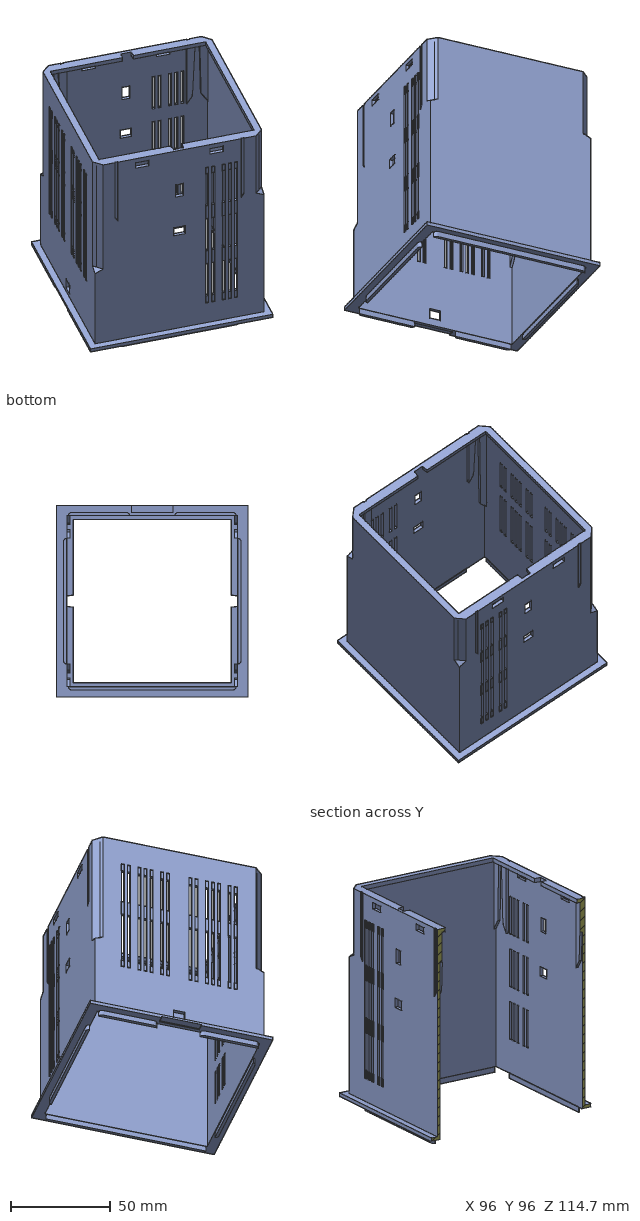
import cadquery as cq
import math

HEIGHT = 114.7
FLANGE_SIZE = 96.0
FLANGE_BOTTOM = 3.0
FLANGE_TOP = 4.9
BODY_SIZE = 89.0
SIDE_WALL = 1.8
FRONT_WALL = 1.7
BODY_HALF = BODY_SIZE / 2
INNER_HALF_X = BODY_HALF - SIDE_WALL
INNER_HALF_Y = BODY_HALF - FRONT_WALL

LIP_HEIGHT = 2.2
LIP_OPENING_X = 78.9
LIP_OPENING_Y = 81.7
LIP_NOTCH_INNER_WIDTH = 6.0
LIP_NOTCH_OUTER_WIDTH = 5.2
LIP_BOTTOM = HEIGHT - LIP_HEIGHT

CORNER_LEG = 4.2
CORNER_END_FRONT = 50.2
CORNER_END_BACK = 79.3
CORNER_END_DROP = 2.0

GROOVE_NEAR_Y = 32.5
GROOVE_WIDTH = 1.5
GROOVE_DEPTH = 0.5
GROOVE_TIP_Z = 78.3
TIP_SLOPE = 1.5
RIB_THICKNESS = 1.4
RIB_NEAR_Y = 31.5
RIB_FAR_Y_TOP = 35.9
RIB_FAR_Y_BOTTOM = 34.5
CORNER_RIB_Y_TOP = 38.4
CORNER_RIB_Y_BOTTOM = 39.1
CORNER_RIB_OVERLAP = 3.1

SLOT_WIDTH = 1.5
SLOT_CHANNEL_DEPTH = 0.5
SLOT_PITCH = 3.2
SLOT_GROUP_GAP = 5.5
SLOT_FIRST = 5.8
SLOT_END = 4.0
SLOT_BRIDGE = 8.0
SHORT_WINDOW = 19.8
LONG_WINDOW = 29.8
FRONT_SLOT_TOP = 99.8
SIDE_SLOT_TOP = 100.7

SIDE_OPENINGS = [
    (-19.6, 7.1, 108.9, 112.2),
    (19.6, 7.1, 108.9, 112.2),
    (0, 4.1, 86.3, 93.7),
    (0, 6.0, 62.5, 67.5),
]
FRONT_OPENING = (0, 6.0, 7.0, 12.4)

STRIP_THICKNESS = 1.5
STRIP_END_RADIUS = 2.0
SIDE_STRIP_HALF = 31.5
STRIP_REACH_X = 42.1
STRIP_GAP_HALF = 11.2
PRY_NOTCH_WIDTH = 20.9
PRY_NOTCH_HEIGHT = 0.7


def block(x_range, y_range, z_range):
    """Axis-aligned box between the given limits."""
    size = [high - low for low, high in (x_range, y_range, z_range)]
    corner = (x_range[0], y_range[0], z_range[0])
    return cq.Workplane("XY").box(*size, centered=False).translate(corner)


def square_prism(size, bottom, top):
    return cq.Workplane("XY").workplane(offset=bottom).rect(size, size).extrude(top - bottom)


def side_plate(outline, x_start, x_end):
    """Plate with an outline in (y, z), reaching from x_start to x_end."""
    return cq.Workplane("YZ").workplane(offset=x_start).polyline(outline).close().extrude(x_end - x_start)


def on_both_sides(shape):
    """The shape together with its mirror image at -X."""
    return shape.union(shape.mirror("YZ"))


def make_shell():
    """Square tube with a flange at the foot and an inward lip at the top."""
    shell = square_prism(BODY_SIZE, FLANGE_BOTTOM, HEIGHT)
    shell = shell.union(square_prism(FLANGE_SIZE, FLANGE_BOTTOM, FLANGE_TOP))
    inside_x = (-INNER_HALF_X, INNER_HALF_X)
    inside_y = (-INNER_HALF_Y, INNER_HALF_Y)
    shell = shell.cut(block(inside_x, inside_y, (0, LIP_BOTTOM)))
    mouth = cq.Workplane("XY").workplane(offset=LIP_BOTTOM).rect(LIP_OPENING_X, LIP_OPENING_Y)
    return shell.cut(mouth.extrude(LIP_HEIGHT))


def make_lip_notches():
    """Tapered notch in the middle of the lip on both X sides."""
    inner_half = LIP_NOTCH_INNER_WIDTH / 2
    outer_half = LIP_NOTCH_OUTER_WIDTH / 2
    outline = [
        (LIP_OPENING_X / 2, -inner_half),
        (INNER_HALF_X, -outer_half),
        (INNER_HALF_X, outer_half),
        (LIP_OPENING_X / 2, inner_half),
    ]
    notch = cq.Workplane("XY").workplane(offset=LIP_BOTTOM).polyline(outline).close().extrude(LIP_HEIGHT)
    return on_both_sides(notch)


def make_corner_cut(x_sign, y_sign, end_z):
    """Corner material to remove above end_z, with a falling end face."""
    chamfer_depth = CORNER_LEG / math.sqrt(2)
    middle = BODY_HALF - CORNER_LEG / 2
    plane = cq.Plane(
        origin=(x_sign * middle, y_sign * middle, 0),
        xDir=(x_sign, y_sign, 0),
        normal=(y_sign, -x_sign, 0),
    )
    up = plane.yDir.z
    outline = [
        (0, up * end_z),
        (chamfer_depth, up * (end_z - CORNER_END_DROP)),
        (chamfer_depth, up * HEIGHT),
        (0, up * HEIGHT),
    ]
    return cq.Workplane(plane).polyline(outline).close().extrude(CORNER_LEG, both=True)


def tip_height(y):
    """Height of the slanted lower end of a groove or rib at distance y."""
    return GROOVE_TIP_Z + TIP_SLOPE * (y - GROOVE_NEAR_Y)


def make_groove(y_sign):
    """Outer guide groove, open at the top and slanted at its lower end."""
    far_y = GROOVE_NEAR_Y + GROOVE_WIDTH
    outline = [
        (y_sign * GROOVE_NEAR_Y, HEIGHT),
        (y_sign * GROOVE_NEAR_Y, tip_height(GROOVE_NEAR_Y)),
        (y_sign * far_y, tip_height(far_y)),
        (y_sign * far_y, HEIGHT),
    ]
    return on_both_sides(side_plate(outline, BODY_HALF - GROOVE_DEPTH, BODY_HALF))


def make_inner_ribs(y_sign, chamfer_end):
    """Rib behind the groove and rib behind the chamfered corner."""
    groove_rib = [
        (y_sign * RIB_NEAR_Y, LIP_BOTTOM),
        (y_sign * RIB_NEAR_Y, tip_height(RIB_NEAR_Y)),
        (y_sign * RIB_FAR_Y_BOTTOM, tip_height(RIB_FAR_Y_BOTTOM)),
        (y_sign * RIB_FAR_Y_TOP, LIP_BOTTOM),
    ]
    corner_tip = chamfer_end - CORNER_RIB_OVERLAP
    corner_shoulder = corner_tip + TIP_SLOPE * (INNER_HALF_Y - CORNER_RIB_Y_BOTTOM)
    corner_rib = [
        (y_sign * CORNER_RIB_Y_TOP, LIP_BOTTOM),
        (y_sign * CORNER_RIB_Y_BOTTOM, corner_shoulder),
        (y_sign * INNER_HALF_Y, corner_tip),
        (y_sign * INNER_HALF_Y, LIP_BOTTOM),
    ]
    face_x = INNER_HALF_X - RIB_THICKNESS
    ribs = side_plate(groove_rib, face_x, INNER_HALF_X)
    return on_both_sides(ribs.union(side_plate(corner_rib, face_x, INNER_HALF_X)))


def slot_positions(group_sizes, first):
    """Slot centres for consecutive groups, starting at the first centre."""
    positions = []
    centre = first
    for count in group_sizes:
        positions += [centre + i * SLOT_PITCH for i in range(count)]
        centre = positions[-1] + SLOT_GROUP_GAP
    return positions


def make_slot(x_centre, top, wall, windows):
    """Slot in a wall at -Y: an outer channel with windows through the wall."""
    x_range = (x_centre - SLOT_WIDTH / 2, x_centre + SLOT_WIDTH / 2)
    length = 2 * SLOT_END + sum(windows) + SLOT_BRIDGE * (len(windows) - 1)
    slot = block(x_range, (-BODY_HALF, -BODY_HALF + SLOT_CHANNEL_DEPTH), (top - length, top))
    window_top = top - SLOT_END
    for window in windows:
        z_range = (window_top - window, window_top)
        slot = slot.union(block(x_range, (-BODY_HALF, -BODY_HALF + wall), z_range))
        window_top -= window + SLOT_BRIDGE
    return slot


def make_strip(start, end):
    """Strip along the -Y edge of the body from x = start to x = end, with rounded outer ends."""
    outer_y = -BODY_HALF
    inner_y = outer_y + STRIP_THICKNESS
    blank = block((start, end), (outer_y, outer_y + 2 * STRIP_END_RADIUS), (0, FLANGE_BOTTOM))
    blank = blank.edges("|Z and <Y").fillet(STRIP_END_RADIUS)
    return blank.intersect(block((start, end), (outer_y, inner_y), (0, FLANGE_BOTTOM)))


def turned(shape, angle):
    """The shape turned about the vertical centre line."""
    return shape.rotate((0, 0, 0), (0, 0, 1), angle)


result = make_shell().cut(make_lip_notches())
for y_sign, chamfer_end in ((-1, CORNER_END_FRONT), (1, CORNER_END_BACK)):
    result = result.union(make_inner_ribs(y_sign, chamfer_end))
    result = result.cut(make_groove(y_sign))
    for x_sign in (-1, 1):
        result = result.cut(make_corner_cut(x_sign, y_sign, chamfer_end))

front_slots = slot_positions((2, 3, 2), SLOT_FIRST)
for x in front_slots:
    for sign in (-1, 1):
        result = result.cut(make_slot(sign * x, FRONT_SLOT_TOP, FRONT_WALL, (SHORT_WINDOW, LONG_WINDOW)))

side_slot_first = front_slots[2]
for y in slot_positions((2, 3), side_slot_first):
    slot = turned(make_slot(y, SIDE_SLOT_TOP, SIDE_WALL, (SHORT_WINDOW,) * 3), 90)
    result = result.cut(on_both_sides(slot))

for centre, width, bottom, top in SIDE_OPENINGS:
    y_range = (centre - width / 2, centre + width / 2)
    opening = block((INNER_HALF_X, BODY_HALF), y_range, (bottom, top))
    result = result.cut(on_both_sides(opening))
centre, width, bottom, top = FRONT_OPENING
x_range = (centre - width / 2, centre + width / 2)
result = result.cut(block(x_range, (-BODY_HALF, -INNER_HALF_Y), (bottom, top)))

result = result.union(on_both_sides(make_strip(STRIP_GAP_HALF, STRIP_REACH_X)))
result = result.union(turned(make_strip(-STRIP_REACH_X, STRIP_REACH_X), 180))
for angle in (-90, 90):
    result = result.union(turned(make_strip(-SIDE_STRIP_HALF, SIDE_STRIP_HALF), angle))

result = result.cut(block(
    (-PRY_NOTCH_WIDTH / 2, PRY_NOTCH_WIDTH / 2),
    (-FLANGE_SIZE / 2, -BODY_HALF),
    (FLANGE_BOTTOM, FLANGE_BOTTOM + PRY_NOTCH_HEIGHT),
))